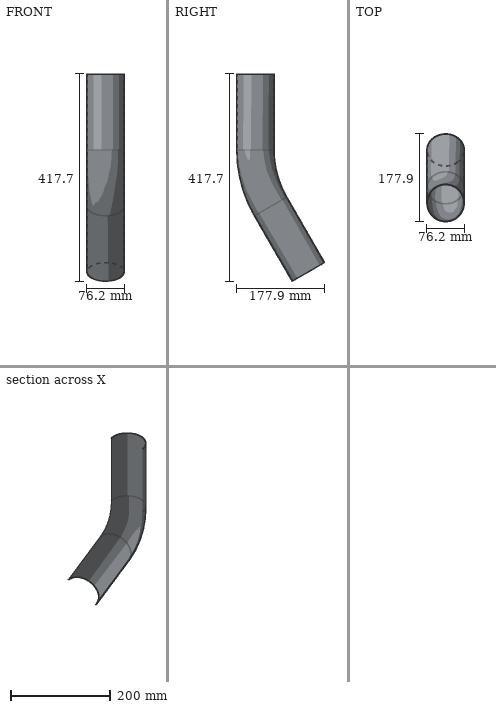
import cadquery as cq
import math

outer_diameter = 76.2
inner_diameter = 73.0
bend_angle = 30.0
bend_radius = 3 * outer_diameter
leg_length = 2 * outer_diameter


def bend_point(angle):
    """Centreline point (y, z) after turning by the given angle from the vertical leg."""
    turn = math.radians(angle)
    return (bend_radius * (1 - math.cos(turn)), -bend_radius * math.sin(turn))


bend_start = bend_point(0)
bend_middle = bend_point(bend_angle / 2)
bend_end = bend_point(bend_angle)
lower_end = (
    bend_end[0] + leg_length * math.sin(math.radians(bend_angle)),
    bend_end[1] - leg_length * math.cos(math.radians(bend_angle)),
)
centreline = (
    cq.Workplane("YZ")
    .moveTo(0, leg_length)
    .lineTo(*bend_start)
    .threePointArc(bend_middle, bend_end)
    .lineTo(*lower_end)
)

result = (
    cq.Workplane("XY", origin=(0, 0, leg_length))
    .circle(outer_diameter / 2)
    .circle(inner_diameter / 2)
    .sweep(centreline)
)